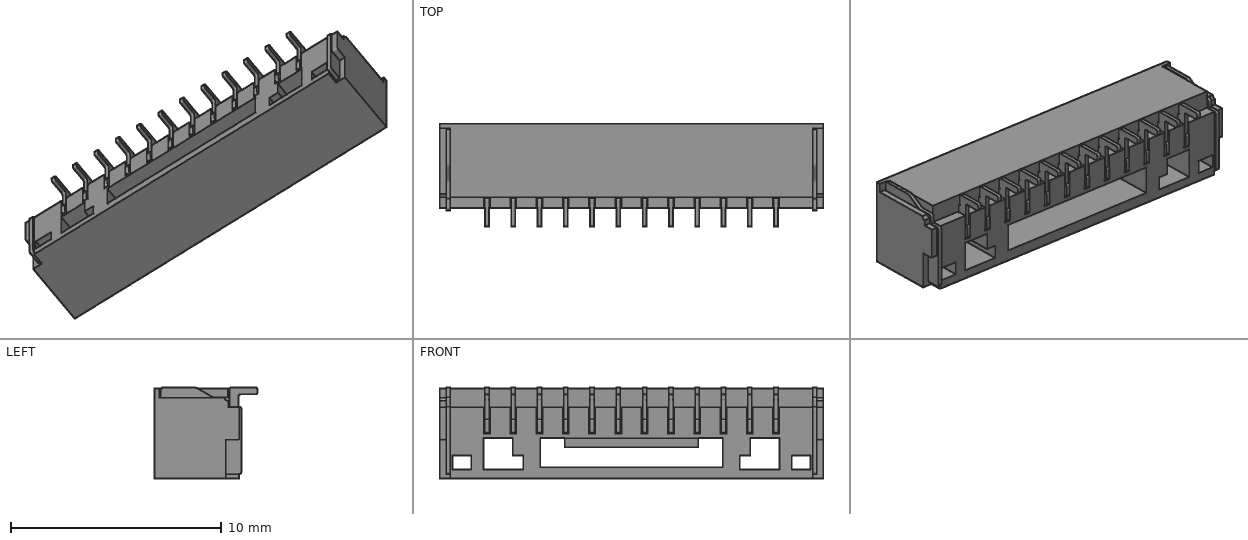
import cadquery as cq

HOUSING_LENGTH = 18.25
HOUSING_DEPTH = 4.03
HOUSING_HEIGHT = 4.3
HALF_LENGTH = HOUSING_LENGTH / 2

STEP_Y = -3.5
STEP_Z = 3.41

END_WIDTH = 0.51
END_FLOOR_Z = 3.86
END_REAR_Y = -0.23
END_FLOOR_ROUND = 0.16
EAR_BOTTOM_Z = 1.85
EAR_ROUND = 0.08
CORNER_CUT_Y = -3.4

WINDOW_BOTTOM_Z = 0.44
LOW_WINDOW_TOP_Z = 1.1
TALL_WINDOW_TOP_Z = 1.93
SMALL_WINDOW_X = (0.62, 1.5)
KEYED_WINDOW_X = (2.09, 3.97)
KEYED_WINDOW_STEP_X = 3.47
WIDE_WINDOW_X = 4.79
WIDE_WINDOW_BOTTOM_Z = 0.55
LEDGE_X = 5.94
LEDGE_BOTTOM_Z = 1.49
LEDGE_FRONT_Y = -HOUSING_DEPTH / 2

PIN_COUNT = 12
PIN_PITCH = 1.25
PIN_WIDTH = 0.2
PIN_TIP_Y = -4.9
PIN_BACK_Y = -3.56
PIN_HEEL_Z = 3.75
PIN_FRONT_Y = -4.0
PIN_FOOT_FRONT_Y = -4.1
PIN_FOOT_TOP_Z = 2.83
PIN_FOOT_ROUND = 0.09
PIN_TOP_Z = 4.35
PIN_LEG_BOTTOM_Z = 4.01
PIN_BOTTOM_Z = 2.18
PIN_ROUND = 0.1
SLOT_WIDTH = 0.3
SLOT_BOTTOM_Z = 2.13

CLIP_INNER_X = END_WIDTH
CLIP_WIDTH = 0.2
CLIP_TOP_Z = PIN_TOP_Z
CLIP_REAR_Y = -0.3
CLIP_RAMP_TOP_Y = -1.98
CLIP_RAMP_END_Y = -2.75
CLIP_NECK_Z = 3.88
CLIP_BEND_Y = -3.58
CLIP_SEAT_Z = 3.43
CLIP_FRONT_Y = -4.14
CLIP_BOTTOM_Z = 0.22
CLIP_EMBED_Z = 3.2
CLIP_ROUND = 0.12
CLIP_RAMP_ROUND = 0.4


def block(x_range, y_range, z_range):
    """Box between pairs of limits, given in any order."""
    x_low, x_high = sorted(x_range)
    y_low, y_high = sorted(y_range)
    z_low, z_high = sorted(z_range)
    size = (x_high - x_low, y_high - y_low, z_high - z_low)
    return cq.Workplane("XY").box(*size, centered=False).translate((x_low, y_low, z_low))


def both_ends(shape):
    """The shape together with its mirror image at the other end."""
    return shape.union(shape.mirror("YZ"))


def from_left(distance):
    """X position at a distance from the left end face."""
    return distance - HALF_LENGTH


def make_housing():
    """Solid housing with a step along its top front edge."""
    outline = [
        (0, 0),
        (-HOUSING_DEPTH, 0),
        (-HOUSING_DEPTH, STEP_Z),
        (STEP_Y, STEP_Z),
        (STEP_Y, HOUSING_HEIGHT),
        (0, HOUSING_HEIGHT),
    ]
    return cq.Workplane("YZ").polyline(outline).close().extrude(HALF_LENGTH, both=True)


def make_end_recess():
    """Material removed at the left end: top recess and lower corner, leaving an ear."""
    end_x = from_left(0)
    top = (
        cq.Workplane("YZ", origin=(end_x, 0, 0))
        .moveTo(END_REAR_Y, HOUSING_HEIGHT)
        .lineTo(END_REAR_Y, END_FLOOR_Z)
        .lineTo(STEP_Y + END_FLOOR_ROUND, END_FLOOR_Z)
        .radiusArc((STEP_Y, END_FLOOR_Z - END_FLOOR_ROUND), END_FLOOR_ROUND)
        .lineTo(STEP_Y, HOUSING_HEIGHT)
        .close()
        .extrude(END_WIDTH)
    )
    corner = (
        cq.Workplane("YZ", origin=(end_x, 0, 0))
        .moveTo(CORNER_CUT_Y, 0)
        .lineTo(CORNER_CUT_Y, EAR_BOTTOM_Z)
        .lineTo(-HOUSING_DEPTH + EAR_ROUND, EAR_BOTTOM_Z)
        .radiusArc((-HOUSING_DEPTH, EAR_BOTTOM_Z + EAR_ROUND), EAR_ROUND)
        .lineTo(-HOUSING_DEPTH, 0)
        .close()
        .extrude(END_WIDTH)
    )
    return top.union(corner)


def make_side_windows():
    """Small rectangular window and stepped window near the left end."""
    through_y = (0, -HOUSING_DEPTH)
    low_z = (WINDOW_BOTTOM_Z, LOW_WINDOW_TOP_Z)
    tall_z = (WINDOW_BOTTOM_Z, TALL_WINDOW_TOP_Z)
    small_x = [from_left(x) for x in SMALL_WINDOW_X]
    keyed_x = [from_left(x) for x in KEYED_WINDOW_X]
    tall_x = (keyed_x[0], from_left(KEYED_WINDOW_STEP_X))
    small = block(small_x, through_y, low_z)
    keyed = block(keyed_x, through_y, low_z).union(block(tall_x, through_y, tall_z))
    return small.union(keyed)


def make_wide_window():
    """Central window, with a ledge left hanging from the roof of its rear half."""
    window_x = from_left(WIDE_WINDOW_X)
    ledge_x = from_left(LEDGE_X)
    window = block(
        (window_x, -window_x), (0, -HOUSING_DEPTH), (WIDE_WINDOW_BOTTOM_Z, TALL_WINDOW_TOP_Z)
    )
    ledge = block((ledge_x, -ledge_x), (0, LEDGE_FRONT_Y), (LEDGE_BOTTOM_Z, TALL_WINDOW_TOP_Z))
    return window.cut(ledge)


def make_pin_slot(x):
    """Slot in the front face, open at the step, that holds one contact."""
    half = SLOT_WIDTH / 2
    return block((x - half, x + half), (STEP_Y, -HOUSING_DEPTH), (SLOT_BOTTOM_Z, STEP_Z))


def round_corners(profile, corners, radius):
    """Fillet the X-direction edges that pass through the given (Y, Z) corners."""
    for y, z in corners:
        nearest = cq.selectors.NearestToPointSelector((0, y, z))
        profile = profile.edges("|X").edges(nearest).fillet(radius)
    return profile


def make_pin(x):
    """Contact: a blade in its slot, with a proud foot and a solder leg pointing to the front."""
    foot_top = (PIN_FOOT_FRONT_Y, PIN_FOOT_TOP_Z)
    foot_bottom = (PIN_FOOT_FRONT_Y, PIN_BOTTOM_Z)
    leg_root = (PIN_FRONT_Y, PIN_LEG_BOTTOM_Z)
    tip_bottom = (PIN_TIP_Y, PIN_LEG_BOTTOM_Z)
    tip_top = (PIN_TIP_Y, PIN_TOP_Z)
    back_top = (PIN_BACK_Y, PIN_TOP_Z)
    outline = [
        (STEP_Y, PIN_BOTTOM_Z),
        foot_bottom,
        foot_top,
        (PIN_FRONT_Y, PIN_FOOT_TOP_Z),
        leg_root,
        tip_bottom,
        tip_top,
        back_top,
        (PIN_BACK_Y, PIN_HEEL_Z),
        (STEP_Y, PIN_HEEL_Z),
    ]
    pin = cq.Workplane("YZ").polyline(outline).close().extrude(PIN_WIDTH / 2, both=True)
    pin = round_corners(pin, [foot_bottom, leg_root, tip_bottom, tip_top, back_top], PIN_ROUND)
    pin = round_corners(pin, [foot_top], PIN_FOOT_ROUND)
    return pin.translate((x, 0, 0))


def make_clip():
    """Left clip: a flat strip with a raised latch, a bend down and a front plate."""
    rear_top = (CLIP_REAR_Y, CLIP_TOP_Z)
    ramp_top = (CLIP_RAMP_TOP_Y, CLIP_TOP_Z)
    ramp_end = (CLIP_RAMP_END_Y, CLIP_NECK_Z)
    bend_top = (CLIP_BEND_Y, CLIP_NECK_Z)
    front_top = (CLIP_FRONT_Y, CLIP_SEAT_Z)
    front_bottom = (CLIP_FRONT_Y, CLIP_BOTTOM_Z)
    outline = [
        (CLIP_REAR_Y, CLIP_EMBED_Z),
        rear_top,
        ramp_top,
        ramp_end,
        bend_top,
        (CLIP_BEND_Y, CLIP_SEAT_Z),
        front_top,
        front_bottom,
        (CORNER_CUT_Y, CLIP_BOTTOM_Z),
        (CORNER_CUT_Y, CLIP_EMBED_Z),
    ]
    clip = cq.Workplane("YZ").polyline(outline).close().extrude(CLIP_WIDTH)
    clip = round_corners(clip, [rear_top, bend_top, front_top, front_bottom], CLIP_ROUND)
    clip = round_corners(clip, [ramp_top, ramp_end], CLIP_RAMP_ROUND)
    return clip.translate((from_left(CLIP_INNER_X - CLIP_WIDTH), 0, 0))


pin_positions = [PIN_PITCH * (i - (PIN_COUNT - 1) / 2) for i in range(PIN_COUNT)]

result = make_housing()
result = result.cut(both_ends(make_end_recess()))
result = result.cut(both_ends(make_side_windows()))
result = result.cut(make_wide_window())
for pin_x in pin_positions:
    result = result.cut(make_pin_slot(pin_x)).union(make_pin(pin_x))
result = result.union(both_ends(make_clip()))